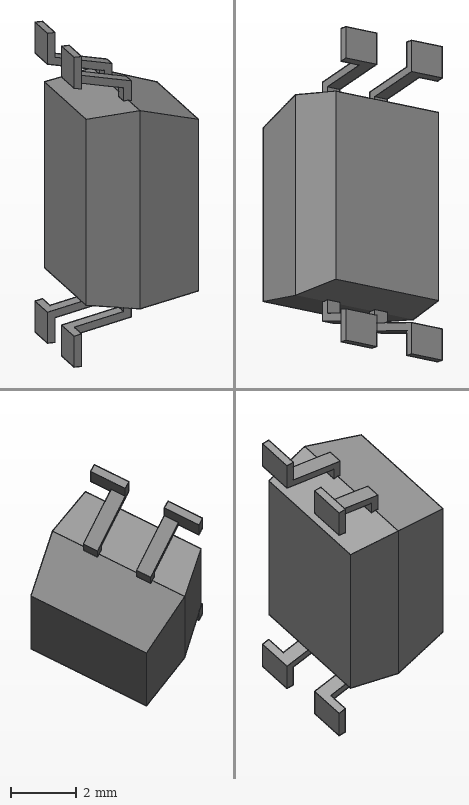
import cadquery as cq
import math


parting_width = 4.58
parting_length = 6.4
face_width = 4.0
front_face_length = 6.0
front_depth = 1.65
back_depth = 2.0
back_face_top = 2.625
back_face_bottom = -2.91

lead_span = 10.0
lead_thickness = 0.25
lead_width = 0.49
lead_back = 0.1
lead_root = 2.9
leg_angle = 12.0
foot_front = -2.0
foot_length = 1.0
foot_width = 1.2
foot_gap = 1.35

lead_tip = lead_span / 2
lead_front = lead_back - lead_thickness
foot_back = foot_front + lead_thickness
foot_heel = lead_tip - foot_length
leg_slope = math.tan(math.radians(leg_angle))
leg_height = lead_thickness / math.cos(math.radians(leg_angle))
inner_side = foot_gap / 2


def leg_inner_z(y):
    """Z of the body-facing surface of the sloping leg."""
    return foot_heel - (y - foot_front) * leg_slope


def leg_outer_z(y):
    """Z of the outward-facing surface of the sloping leg."""
    return leg_inner_z(y) + leg_height


def rectangle_wire(width, bottom, top, y):
    """Rectangle parallel to XZ, centred on X = 0."""
    half_width = width / 2
    corners = [(-half_width, bottom), (half_width, bottom), (half_width, top), (-half_width, top)]
    return cq.Wire.makePolygon([cq.Vector(x, y, z) for x, z in corners], close=True)


def make_body():
    parting = rectangle_wire(parting_width, -parting_length / 2, parting_length / 2, 0)
    front = rectangle_wire(face_width, -front_face_length / 2, front_face_length / 2, -front_depth)
    back = rectangle_wire(face_width, back_face_bottom, back_face_top, back_depth)
    front_half = cq.Solid.makeLoft([front, parting], True)
    back_half = cq.Solid.makeLoft([parting, back], True)
    return cq.Workplane(obj=front_half).union(cq.Workplane(obj=back_half))


def extrude_along_x(profile, width):
    """Extrude a (Y, Z) profile outward in +X from the lead's inner side."""
    return cq.Workplane("YZ").workplane(offset=inner_side).polyline(profile).close().extrude(width)


def make_lead():
    """Lead in the +X, +Z quadrant: narrow root and leg, wide foot."""
    leg_profile = [
        (lead_front, lead_root),
        (lead_back, lead_root),
        (lead_back, leg_outer_z(lead_back)),
        (foot_back, leg_outer_z(foot_back)),
        (foot_back, leg_inner_z(foot_back)),
        (lead_front, leg_inner_z(lead_front)),
    ]
    foot_profile = [
        (foot_back, leg_inner_z(foot_back)),
        (foot_front, foot_heel),
        (foot_front, lead_tip),
        (foot_back, lead_tip),
    ]
    return extrude_along_x(leg_profile, lead_width).union(extrude_along_x(foot_profile, foot_width))


upper_right_lead = make_lead()
upper_leads = upper_right_lead.union(upper_right_lead.mirror("YZ"))
lower_leads = upper_leads.mirror("XY")

result = make_body().union(upper_leads).union(lower_leads)